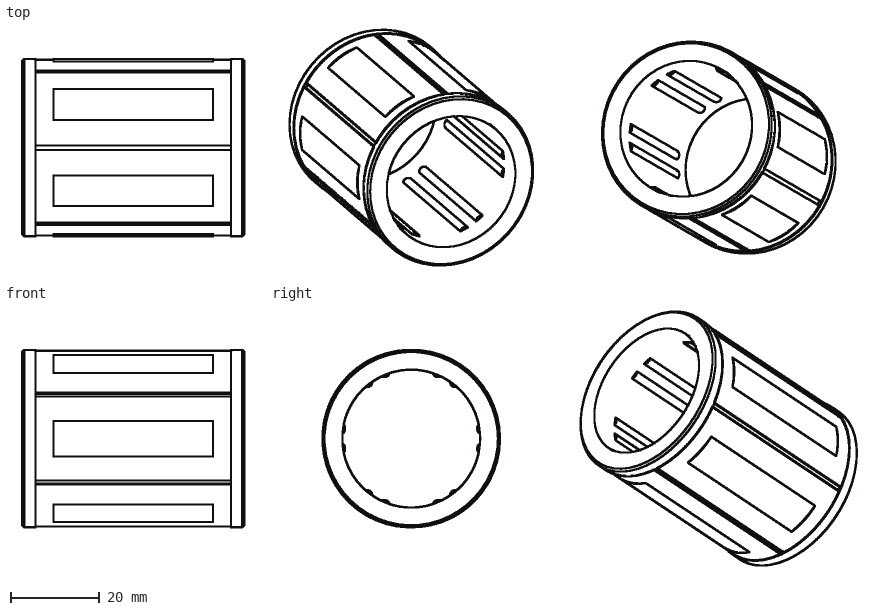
import cadquery as cq

LENGTH = 50.0
OUTER_DIAMETER = 40.0
BORE_DIAMETER = 31.0
COLLAR_WIDTH = 3.0
COLLAR_CHAMFER_LENGTH = 0.5
COLLAR_CHAMFER_DEPTH = 0.5
BODY_RECESS = 0.2

SEGMENTS = 6
PAD_LENGTH = 36.0
PAD_WIDTH = 8.0
PAD_CREST_DIAMETER = 40.0
PAD_CROWN_RADIUS = 14.0
GROOVE_WIDTH = 1.0
GROOVE_DEPTH = 0.5

TRACK_BALL_DIAMETER = 2.5
TRACK_LENGTH = 36.0
TRACK_INNER_DIAMETER = 30.0
TRACK_HALF_ANGLE = 7.95

outer_radius = OUTER_DIAMETER / 2
bore_radius = BORE_DIAMETER / 2
body_radius = outer_radius - BODY_RECESS
body_length = LENGTH - 2 * COLLAR_WIDTH
segment_angle = 360.0 / SEGMENTS


def x_cylinder(radius, length):
    """Solid cylinder along X, centred on the origin."""
    return cq.Workplane("YZ").circle(radius).extrude(length / 2, both=True)


def turned_about_axis(shape, angle):
    """Shape turned about the sleeve axis; angle 0 is +Y."""
    return shape.rotate((0, 0, 0), (1, 0, 0), angle)


def make_sleeve():
    """Revolved tube with chamfered end collars and a slightly recessed body."""
    half_length = LENGTH / 2
    half_body = body_length / 2
    chamfer_start = half_length - COLLAR_CHAMFER_LENGTH
    chamfer_radius = outer_radius - COLLAR_CHAMFER_DEPTH
    profile = (
        cq.Workplane("XY")
        .moveTo(-half_length, bore_radius)
        .lineTo(-half_length, chamfer_radius)
        .lineTo(-chamfer_start, outer_radius)
        .lineTo(-half_body, outer_radius)
        .lineTo(-half_body, body_radius)
        .lineTo(half_body, body_radius)
        .lineTo(half_body, outer_radius)
        .lineTo(chamfer_start, outer_radius)
        .lineTo(half_length, chamfer_radius)
        .lineTo(half_length, bore_radius)
        .close()
    )
    return profile.revolve(360, (0, 0, 0), (1, 0, 0))


def make_pad():
    """Crowned pad on the +Y side, highest along its centre line."""
    wall_middle = (outer_radius + bore_radius) / 2
    pad_block = cq.Workplane("XY").box(PAD_LENGTH, outer_radius, PAD_WIDTH)
    pad_block = pad_block.translate((0, wall_middle + outer_radius / 2, 0))
    crown_centre = PAD_CREST_DIAMETER / 2 - PAD_CROWN_RADIUS
    crown = x_cylinder(PAD_CROWN_RADIUS, PAD_LENGTH).translate((0, crown_centre, 0))
    return crown.intersect(pad_block)


def make_groove():
    """Cutter for a shallow straight groove along the +Y side of the body."""
    groove_floor = body_radius - GROOVE_DEPTH
    cutter = cq.Workplane("XY").box(body_length, outer_radius, GROOVE_WIDTH)
    return cutter.translate((0, groove_floor + outer_radius / 2, 0))


def make_track():
    """Round bar on the +Y side of the bore, its crest on the track inner circle."""
    ball_radius = TRACK_BALL_DIAMETER / 2
    centre_radius = TRACK_INNER_DIAMETER / 2 + ball_radius
    return x_cylinder(ball_radius, TRACK_LENGTH).translate((0, centre_radius, 0))


result = make_sleeve()
for segment in range(SEGMENTS):
    pad_angle = segment * segment_angle
    result = result.cut(turned_about_axis(make_groove(), pad_angle + segment_angle / 2))
    result = result.union(turned_about_axis(make_pad(), pad_angle))
    for side in (-1, 1):
        result = result.union(turned_about_axis(make_track(), pad_angle + side * TRACK_HALF_ANGLE))